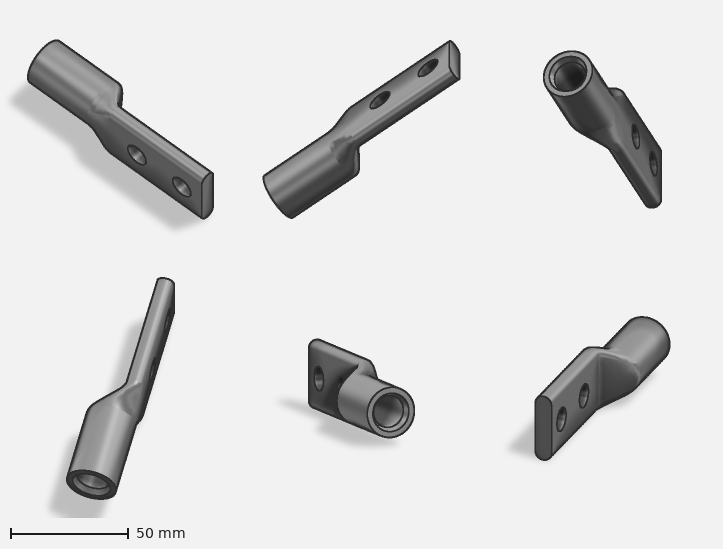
import cadquery as cq
import math

total_length = 98.4
barrel_diameter = 21.7
barrel_length = 33.3
transition_length = 12.8

palm_width = 29.7
palm_thickness = 7.5

hole_diameter = 10.3
hole_spacing = 25.4
hole_end_distance = 11.2

mouth_diameter = 16.5
bore_diameter = 13.7
taper_depth = 2.7
bore_depth = barrel_length

flattening_half_angle = 30.0
transition_steps = 6

barrel_radius = barrel_diameter / 2
palm_start = barrel_length + transition_length
palm_length = total_length - palm_start
palm_center_y = (palm_thickness - barrel_diameter) / 2
edge_radius = palm_thickness / 2
flat_half_width = palm_width / 2 - edge_radius


def barrel_points():
    """Ends and middles of the four barrel arcs, counterclockwise from the +Y side."""
    half = flattening_half_angle
    angles = [-half, 0, half, 90, 180 - half, 180, 180 + half, 270]
    return [
        (barrel_radius * math.cos(math.radians(a)), barrel_radius * math.sin(math.radians(a)))
        for a in angles
    ]


def palm_points():
    """Ends and middles of the palm's two flats and two round edges, in the same order."""
    back_y = palm_center_y + edge_radius
    front_y = palm_center_y - edge_radius
    return [
        (back_y, -flat_half_width),
        (back_y, 0),
        (back_y, flat_half_width),
        (palm_center_y, palm_width / 2),
        (front_y, flat_half_width),
        (front_y, 0),
        (front_y, -flat_half_width),
        (palm_center_y, -palm_width / 2),
    ]


def transition_section(fraction):
    """Closed outline at a fraction of the transition; the easing blends smoothly at both ends."""
    blend = fraction**2 * (3 - 2 * fraction)
    points = [
        (y0 + blend * (y1 - y0), z0 + blend * (z1 - z0))
        for (y0, z0), (y1, z1) in zip(barrel_points(), palm_points())
    ]
    x = barrel_length + fraction * transition_length
    outline = cq.Workplane("YZ", origin=(x, 0, 0)).moveTo(*points[0])
    for start in range(0, len(points), 2):
        middle = points[start + 1]
        end = points[(start + 2) % len(points)]
        is_palm_flat = fraction == 1 and start % 4 == 0
        if is_palm_flat:
            outline = outline.lineTo(*end)
        else:
            outline = outline.threePointArc(middle, end)
    return outline.close().val()


def make_barrel():
    return cq.Workplane("YZ").circle(barrel_radius).extrude(barrel_length)


def make_transition():
    sections = [transition_section(step / transition_steps) for step in range(transition_steps + 1)]
    return cq.Workplane(cq.Solid.makeLoft(sections))


def make_palm():
    return (
        cq.Workplane("YZ", origin=(palm_start, palm_center_y, 0))
        .slot2D(palm_width, palm_thickness, 90)
        .extrude(palm_length)
    )


def make_bore():
    """Bore revolved about the barrel axis, narrowing from the mouth over the taper."""
    return (
        cq.Workplane("XY")
        .polyline([
            (0, 0),
            (0, mouth_diameter / 2),
            (taper_depth, bore_diameter / 2),
            (bore_depth, bore_diameter / 2),
            (bore_depth, 0),
        ])
        .close()
        .revolve(360, (0, 0, 0), (1, 0, 0))
    )


def make_bolt_holes():
    outer_x = total_length - hole_end_distance
    return (
        cq.Workplane("XZ")
        .pushPoints([(outer_x - hole_spacing, 0), (outer_x, 0)])
        .circle(hole_diameter / 2)
        .extrude(barrel_diameter, both=True)
    )


body = make_barrel().union(make_transition()).union(make_palm())
result = body.cut(make_bore()).cut(make_bolt_holes())